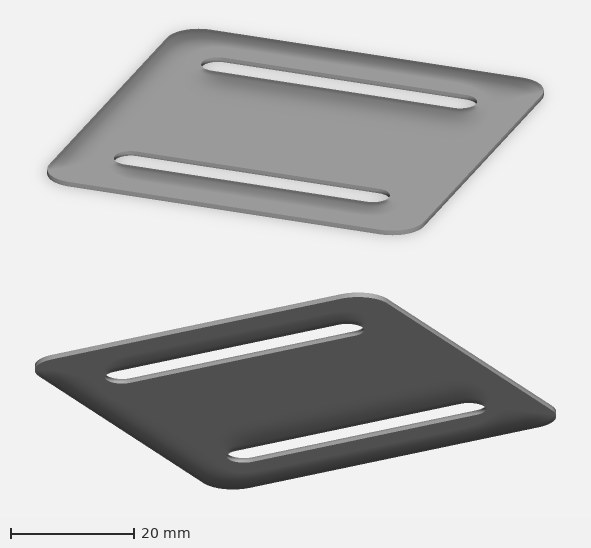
import cadquery as cq

plate_side = 65.0
plate_thickness = 0.8
corner_radius = 5.5

slot_length = 47.5
slot_width = 5.5
slot_spacing = 40.0


def make_plate():
    """Square plate with rounded corners, resting on Z = 0."""
    return (
        cq.Workplane("XY")
        .box(plate_side, plate_side, plate_thickness, centered=(True, True, False))
        .edges("|Z")
        .fillet(corner_radius)
    )


def cut_strap_slots(plate):
    """Cut the two round-ended slots through the plate."""
    slot_centers = [(0, -slot_spacing / 2), (0, slot_spacing / 2)]
    return (
        plate.faces(">Z")
        .workplane(origin=(0, 0, plate_thickness))
        .pushPoints(slot_centers)
        .slot2D(slot_length, slot_width)
        .cutThruAll()
    )


result = cut_strap_slots(make_plate())